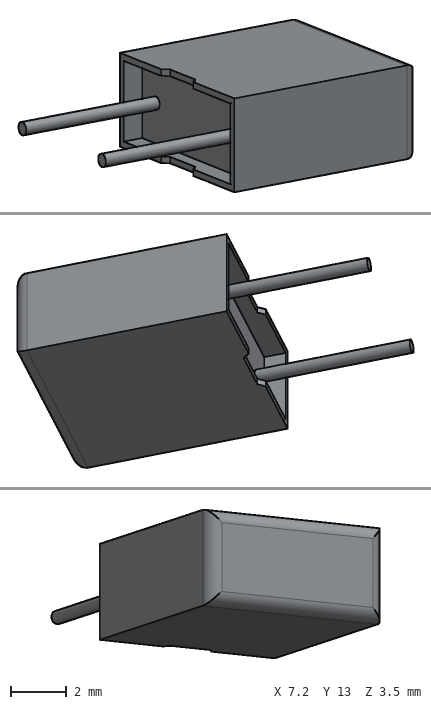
import cadquery as cq

total_length = 13.0
case_width = 7.2
case_height = 3.5
case_length = 8.0
wall = 0.25
closed_end_radius = 0.5
recess_depth = 0.8

notch_depth = 0.25
notch_rim_width = 2.0
notch_floor_width = 1.6

lead_diameter = 0.5
lead_pitch = 5.0
lead_tip_y = case_length - total_length

cavity_width = case_width - 2 * wall
cavity_height = case_height - 2 * wall
cavity_length = case_length - wall


def block(width, height, y_start, y_end):
    """Box centred on the Y axis, running from y_start to y_end."""
    length = y_end - y_start
    return cq.Workplane("XY").box(width, length, height).translate((0, y_start + length / 2, 0))


def make_notch_cutter():
    """Trapezoidal prism that notches the rim through both broad walls."""
    outline = [
        (-notch_rim_width / 2, 0),
        (notch_rim_width / 2, 0),
        (notch_floor_width / 2, notch_depth),
        (-notch_floor_width / 2, notch_depth),
    ]
    return cq.Workplane("XY").polyline(outline).close().extrude(case_height, both=True)


def make_case():
    """Open box with a rounded closed end and a notched rim."""
    shell = block(case_width, case_height, 0, case_length)
    shell = shell.faces(">Y").edges().fillet(closed_end_radius)
    shell = shell.cut(block(cavity_width, cavity_height, 0, cavity_length))
    return shell.cut(make_notch_cutter())


def make_filling():
    """Block that fills the case up to a flat face set back from the rim."""
    return block(cavity_width, cavity_height, recess_depth, cavity_length)


def make_lead(x):
    """Round wire that runs from the filling's face out past the rim."""
    lead_length = recess_depth - lead_tip_y
    face = cq.Workplane("XZ", origin=(x, recess_depth, 0))
    return face.circle(lead_diameter / 2).extrude(lead_length)


case = make_case()
filling = make_filling()
leads = [make_lead(side * lead_pitch / 2) for side in (-1, 1)]

result = cq.Compound.makeCompound([case.val(), filling.val(), *[lead.val() for lead in leads]])